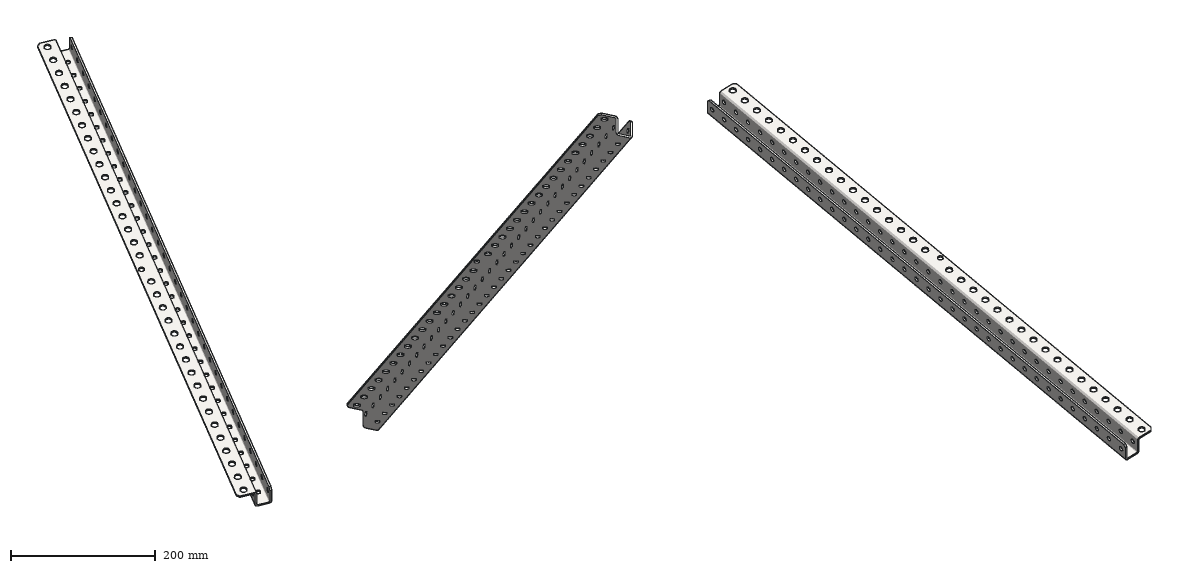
import cadquery as cq

length = 883.0
depth = 50.0
height = 30.0
sheet = 3.0
bend_inner = sheet / 2
bend_outer = bend_inner + sheet
corner_cut = 4.0

web_front = 26.0
web_back = web_front + sheet

end_margin = 10.0
hole_count = 35
pitch = (length - 2 * end_margin) / (hole_count - 1)
flange_hole_diameter = 10.0
flange_hole_y = 12.0
offset_hole_diameter = 8.0
offset_hole_y = 6.6
floor_hole_diameter = 6.6
floor_hole_y = 38.0
wall_hole_diameter = 6.6
wall_hole_z = 17.0


def bent_profile():
    """Flange, web, floor and back wall, extruded along X."""
    return (
        cq.Workplane("YZ")
        .moveTo(0, height)
        .lineTo(web_back, height)
        .lineTo(web_back, sheet)
        .lineTo(depth - sheet, sheet)
        .lineTo(depth - sheet, height)
        .lineTo(depth, height)
        .lineTo(depth, 0)
        .lineTo(web_front, 0)
        .lineTo(web_front, height - sheet)
        .lineTo(0, height - sheet)
        .close()
        .extrude(length)
    )


def round_bends(body):
    """Round the outer and inner face of each of the three bends."""
    outer_corners = ((web_back, height), (web_front, 0), (depth, 0))
    inner_corners = ((web_front, height - sheet), (web_back, sheet), (depth - sheet, sheet))
    for corners, radius in ((outer_corners, bend_outer), (inner_corners, bend_inner)):
        for y, z in corners:
            edge = cq.selectors.NearestToPointSelector((length / 2, y, z))
            body = body.edges("|X").edges(edge).fillet(radius)
    return body


def cut_free_corners(body):
    """Chamfer the end corners of the flange and of the back wall."""
    wall_top = cq.selectors.BoxSelector(
        (-sheet, depth - 2 * sheet, height - sheet),
        (length + sheet, depth + sheet, height + sheet),
    )
    body = body.edges("|Z").edges("<Y").chamfer(corner_cut)
    return body.edges("|Y").edges(wall_top).chamfer(corner_cut)


def row_positions(count):
    """X positions of a row of evenly spaced holes centred on the rail."""
    first = (length - (count - 1) * pitch) / 2
    return [first + index * pitch for index in range(count)]


def vertical_holes(points, diameter):
    """Cutters through the full height."""
    return cq.Workplane("XY").pushPoints(points).circle(diameter / 2).extrude(height)


def cross_holes(points, diameter):
    """Cutters through the web and the back wall."""
    return cq.Workplane("XZ").pushPoints(points).circle(diameter / 2).extrude(-depth)


full_row = row_positions(hole_count)
middle = hole_count // 2
flange_row = full_row[:middle] + full_row[middle + 1:]
floor_row = row_positions(hole_count - 1)

rail = round_bends(bent_profile())
rail = cut_free_corners(rail)

rail = rail.cut(vertical_holes([(x, flange_hole_y) for x in flange_row], flange_hole_diameter))
rail = rail.cut(vertical_holes([(full_row[middle], offset_hole_y)], offset_hole_diameter))

rail = rail.cut(vertical_holes([(x, floor_hole_y) for x in floor_row], floor_hole_diameter))

rail = rail.cut(cross_holes([(x, wall_hole_z) for x in full_row], wall_hole_diameter))

result = rail